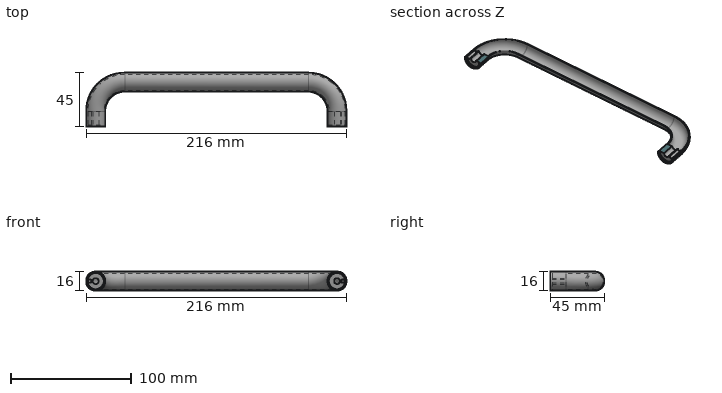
import cadquery as cq

overall_length = 216.0
overall_depth = 45.0
tube_diameter = 16.0
bore_diameter = 13.5
bend_radius = 24.0

plug_recess = 1.5
screw_hole_diameter = 5.0
pin_hole_diameter = 3.0
pin_hole_offset = 5.0

leg_x = (overall_length - tube_diameter) / 2
end_y = -overall_depth / 2
grip_y = overall_depth / 2 - tube_diameter / 2
bend_start_y = grip_y - bend_radius
grip_end_x = leg_x - bend_radius
plug_thickness = bend_start_y - end_y - plug_recess


def make_centreline():
    """Leg, quarter bend, straight grip, quarter bend, leg."""
    return (
        cq.Workplane("XY")
        .moveTo(-leg_x, end_y)
        .lineTo(-leg_x, bend_start_y)
        .radiusArc((-grip_end_x, grip_y), bend_radius)
        .lineTo(grip_end_x, grip_y)
        .radiusArc((leg_x, bend_start_y), bend_radius)
        .lineTo(leg_x, end_y)
    )


def end_plane(x, y):
    """Workplane across a leg whose normal runs into the handle (+Y)."""
    return cq.Workplane(cq.Plane(origin=(x, y, 0), xDir=(1, 0, 0), normal=(0, 1, 0)))


def make_tube():
    """Hollow bent tube."""
    section = end_plane(-leg_x, end_y).circle(tube_diameter / 2).circle(bore_diameter / 2)
    return section.sweep(make_centreline())


def make_plug(side):
    """Plug filling the straight leg, with a screw hole and a pin hole into the tube."""
    plug_y = end_y + plug_recess
    pin_x = side * (leg_x + pin_hole_offset)
    plug = end_plane(side * leg_x, plug_y).circle(bore_diameter / 2).extrude(plug_thickness)
    screw_hole = end_plane(side * leg_x, plug_y).circle(screw_hole_diameter / 2).extrude(plug_thickness)
    pin_hole = end_plane(pin_x, plug_y).circle(pin_hole_diameter / 2).extrude(plug_thickness)
    return plug.cut(screw_hole).cut(pin_hole)


result = make_tube()
for side in (-1, 1):
    result = result.union(make_plug(side))